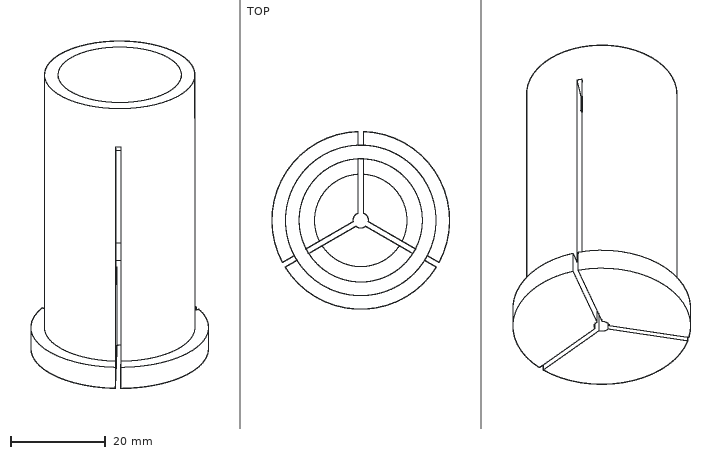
import cadquery as cq
import math

total_height = 64.6

flange_diameter = 37.5
flange_height = 5.0
sleeve_diameter = 31.75

mouth_diameter = 26.0
mouth_depth = 15.0
relief_diameter = 19.5
grip_height = 20.0
pilot_diameter = 3.2

slot_count = 3
slot_width = 1.1
unslotted_length = 9.0
slot_top = total_height - unslotted_length
slot_end_slope = 39.0
first_slot_angle = 90.0


def cylinder(diameter, bottom, top):
    """Upright cylinder on the Z axis between two heights."""
    return cq.Workplane("XY").workplane(offset=bottom).circle(diameter / 2).extrude(top - bottom)


def slot_end_height(radius):
    """Height of the sloping slot end at a distance from the axis."""
    return slot_top + (radius - sleeve_diameter / 2) * math.tan(math.radians(slot_end_slope))


def slot_cutter(angle):
    """Radial slab from the axis out to the flange rim, with a sloping upper end."""
    rim_radius = flange_diameter / 2
    outline = [
        (0, 0),
        (rim_radius, 0),
        (rim_radius, slot_end_height(rim_radius)),
        (0, slot_end_height(0)),
    ]
    slab = cq.Workplane("XZ").polyline(outline).close().extrude(slot_width / 2, both=True)
    return slab.rotate((0, 0, 0), (0, 0, 1), angle)


def flanged_sleeve():
    flange = cylinder(flange_diameter, 0, flange_height)
    sleeve = cylinder(sleeve_diameter, 0, total_height)
    return flange.union(sleeve)


def stepped_bore():
    mouth = cylinder(mouth_diameter, total_height - mouth_depth, total_height)
    relief = cylinder(relief_diameter, grip_height, total_height)
    pilot = cylinder(pilot_diameter, 0, total_height)
    return mouth.union(relief).union(pilot)


result = flanged_sleeve().cut(stepped_bore())
for index in range(slot_count):
    result = result.cut(slot_cutter(first_slot_angle + index * 360 / slot_count))